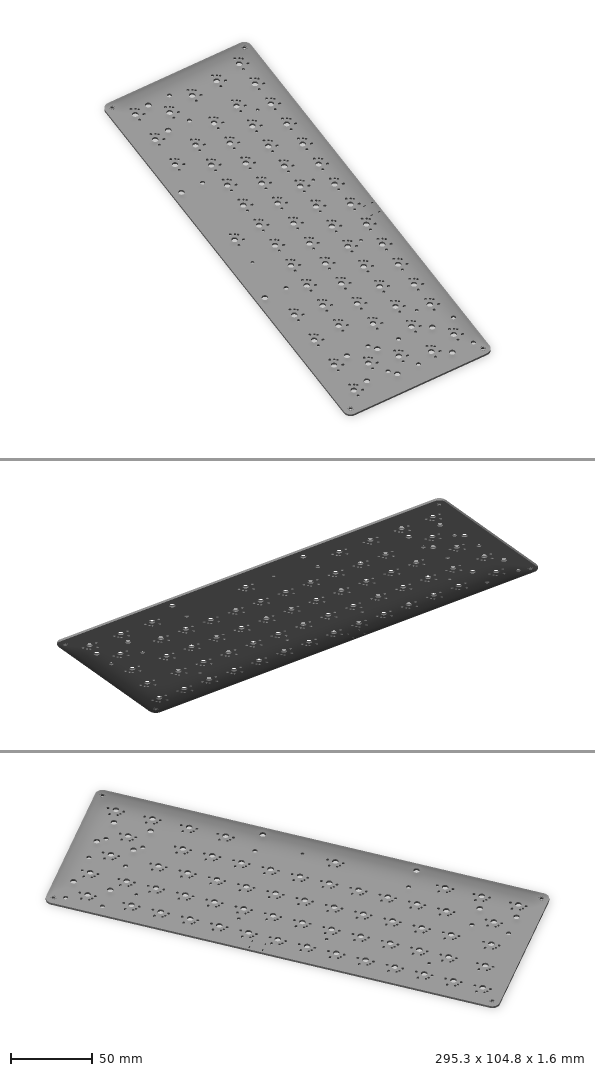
import math

import cadquery as cq

KEY_UNIT = 19.05
GRID_COLUMNS = 15
GRID_ROWS = 5
BORDER = KEY_UNIT / 4
BOARD_LENGTH = GRID_COLUMNS * KEY_UNIT + 2 * BORDER
BOARD_WIDTH = GRID_ROWS * KEY_UNIT + 2 * BORDER
BOARD_THICKNESS = 1.6
CORNER_RADIUS = BORDER

KEY_ROWS = [
    [1] * 13 + [2],
    [1.5] + [1] * 12 + [1.5],
    [1.75] + [1] * 11 + [2.25],
    [2.25] + [1] * 10 + [2.75],
    [1.25] * 3 + [6.25] + [1.25] * 4,
]

STEM_DIAMETER = 3.9878
SIDE_PEG_DIAMETER = 1.75
SIDE_PEG_OFFSET = 5.08
CONTACT_DIAMETER = 1.47
CONTACT_PLACES = [(-3.81, 2.54), (-2.5, 4.0), (2.5, 4.5), (2.54, 5.08)]

STABILIZED_KEY_WIDTH = 2
SPACEBAR_WIDTH = 6.25
STABILIZER_OFFSET = 11.938
SPACEBAR_STABILIZER_OFFSET = 50.0
STABILIZER_BACK_DIAMETER = 3.048
STABILIZER_BACK_Y = 6.985
STABILIZER_FRONT_DIAMETER = 3.9878
STABILIZER_FRONT_Y = -8.255

MOUNT_DIAMETER = 2.2
CORNER_MOUNTS = [(0, 0), (GRID_COLUMNS, 0), (0, GRID_ROWS), (GRID_COLUMNS, GRID_ROWS)]
INNER_MOUNTS = [(2.5, 1), (6, 1), (9, 1), (12.5, 1), (8, 4.5)]

VIA_DIAMETER = 0.4
VIA_RING_RADIUS = 1.65
VIA_COUNT = 8

USB_CENTER_X = 10.15
USB_SLOT_SPACING = 8.6
USB_SLOT_WIDTH = 0.7
USB_SLOT_LENGTH = 1.9
USB_SLOT_EDGE_DISTANCES = [2.2, 7.6]
ALONG_Y = 90


def grid_point(column, row):
    """Board position of a point given in key units from the back-left grid corner."""
    x = (column - GRID_COLUMNS / 2) * KEY_UNIT
    y = (GRID_ROWS / 2 - row) * KEY_UNIT
    return x, y


def key_positions():
    """Centre and width in key units of every key."""
    keys = []
    for row, widths in enumerate(KEY_ROWS):
        middle_of_row = row + 1 / 2
        left = 0
        for width in widths:
            keys.append((grid_point(left + width / 2, middle_of_row), width))
            left += width
    return keys


def drill(points, diameter):
    """Cylinders through the board thickness at the given points."""
    return cq.Workplane("XY").pushPoints(points).circle(diameter / 2).extrude(BOARD_THICKNESS)


def around(centers, offsets):
    """Every offset applied to every centre."""
    return [(x + dx, y + dy) for x, y in centers for dx, dy in offsets]


def board():
    outline = cq.Workplane("XY").rect(BOARD_LENGTH, BOARD_WIDTH)
    return outline.extrude(BOARD_THICKNESS).edges("|Z").fillet(CORNER_RADIUS)


def cut_switches(plate, centers):
    pegs = [(-SIDE_PEG_OFFSET, 0), (SIDE_PEG_OFFSET, 0)]
    plate = plate.cut(drill(centers, STEM_DIAMETER))
    plate = plate.cut(drill(around(centers, pegs), SIDE_PEG_DIAMETER))
    for place in CONTACT_PLACES:
        plate = plate.cut(drill(around(centers, [place]), CONTACT_DIAMETER))
    return plate


def cut_stabilizers(plate, keys):
    back_points = []
    front_points = []
    for (x, y), width in keys:
        if width < STABILIZED_KEY_WIDTH:
            continue
        offset = SPACEBAR_STABILIZER_OFFSET if width == SPACEBAR_WIDTH else STABILIZER_OFFSET
        for side in (-1, 1):
            back_points.append((x + side * offset, y + STABILIZER_BACK_Y))
            front_points.append((x + side * offset, y + STABILIZER_FRONT_Y))
    plate = plate.cut(drill(back_points, STABILIZER_BACK_DIAMETER))
    return plate.cut(drill(front_points, STABILIZER_FRONT_DIAMETER))


def cut_mounting_holes(plate):
    points = [grid_point(column, row) for column, row in CORNER_MOUNTS + INNER_MOUNTS]
    return plate.cut(drill(points, MOUNT_DIAMETER))


def cut_via_rings(plate):
    angles = [2 * math.pi * i / VIA_COUNT for i in range(VIA_COUNT)]
    ring = [(VIA_RING_RADIUS * math.cos(angle), VIA_RING_RADIUS * math.sin(angle)) for angle in angles]
    corners = [grid_point(column, row) for column, row in CORNER_MOUNTS]
    return plate.cut(drill(around(corners, ring), VIA_DIAMETER))


def cut_usb_slots(plate):
    points = [
        (USB_CENTER_X + side * USB_SLOT_SPACING / 2, BOARD_WIDTH / 2 - distance)
        for side in (-1, 1)
        for distance in USB_SLOT_EDGE_DISTANCES
    ]
    slots = cq.Workplane("XY").pushPoints(points).slot2D(USB_SLOT_LENGTH, USB_SLOT_WIDTH, ALONG_Y)
    return plate.cut(slots.extrude(BOARD_THICKNESS))


keys = key_positions()
result = board()
result = cut_switches(result, [center for center, _ in keys])
result = cut_stabilizers(result, keys)
result = cut_mounting_holes(result)
result = cut_via_rings(result)
result = cut_usb_slots(result)